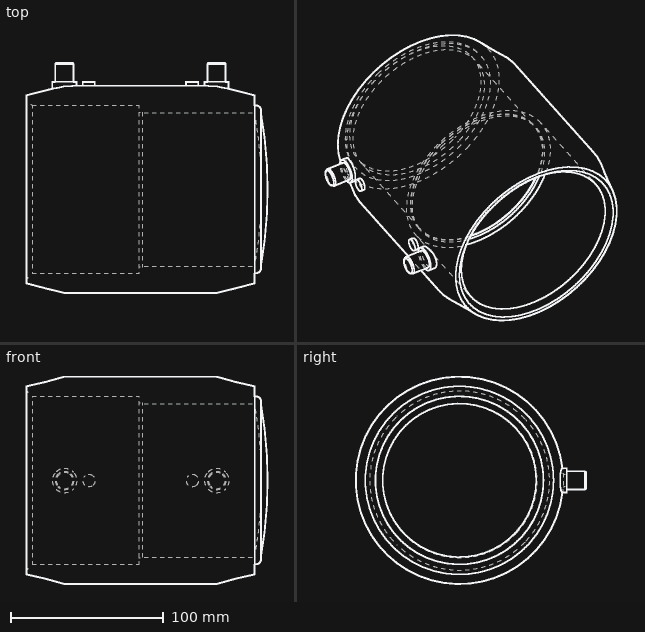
import cadquery as cq

total_length = 158.0
sleeve_length = 149.5
sleeve_radius = 68.0
taper_length = 25.0
end_radius = 61.6

bore_radius = 110.0 / 2
mouth_radius = 58.8
mouth_depth = 3.8
stop_radius = 101.3 / 2
stop_width = 2.2
stop_x = (sleeve_length - stop_width) / 2

plug_inner_radius = 50.3
dome_rim_radius = 50.3
dome_height = 4.5
plug_wall = 4.3
shoulder_bulge = 1.3

boss_top = 70.3
terminal_top = 83.0
terminal_radius = 12.0 / 2
terminal_chamfer_height = 1.1
terminal_chamfer_width = 0.6
collar_radius = 16.0 / 2
indicator_radius = 8.0 / 2
indicator_offset = 16.0
embedded_y = 60.0


def make_body():
    """Revolve the sleeve wall and its closing plug about the X axis."""
    dome_rim_x = total_length - dome_height
    outer_dome_radius = (dome_rim_radius**2 + dome_height**2) / (2 * dome_height)
    inner_dome_radius = outer_dome_radius - plug_wall
    inner_apex_x = total_length - plug_wall
    inner_sphere_x = inner_apex_x - inner_dome_radius
    inner_rim_x = inner_sphere_x + (inner_dome_radius**2 - plug_inner_radius**2) ** 0.5
    shoulder_x = (sleeve_length + dome_rim_x) / 2 + shoulder_bulge
    shoulder_r = (bore_radius + dome_rim_radius) / 2 + shoulder_bulge

    profile = (
        cq.Workplane("XY")
        .moveTo(0, mouth_radius)
        .lineTo(0, end_radius)
        .lineTo(taper_length, sleeve_radius)
        .lineTo(sleeve_length - taper_length, sleeve_radius)
        .lineTo(sleeve_length, end_radius)
        .lineTo(sleeve_length, bore_radius)
        .threePointArc((shoulder_x, shoulder_r), (dome_rim_x, dome_rim_radius))
        .radiusArc((total_length, 0), outer_dome_radius)
        .lineTo(inner_apex_x, 0)
        .radiusArc((inner_rim_x, plug_inner_radius), -inner_dome_radius)
        .lineTo(stop_x + stop_width, plug_inner_radius)
        .lineTo(stop_x + stop_width, stop_radius)
        .lineTo(stop_x, stop_radius)
        .lineTo(stop_x, bore_radius)
        .lineTo(mouth_depth, bore_radius)
        .close()
    )
    return profile.revolve(360, (0, 0, 0), (1, 0, 0))


def y_pin(x, radius, top):
    """Round pin along +Y, rooted inside the sleeve wall."""
    direction = cq.Vector(0, 1, 0)
    base = cq.Vector(x, embedded_y, 0)
    return cq.Workplane(cq.Solid.makeCylinder(radius, top - embedded_y, base, direction))


def make_terminal(x):
    """Collar and contact post with a chamfered tip."""
    post = (
        y_pin(x, terminal_radius, terminal_top)
        .faces(">Y")
        .edges()
        .chamfer(terminal_chamfer_height, terminal_chamfer_width)
    )
    return y_pin(x, collar_radius, boss_top).union(post)


result = make_body()
for end_x, inward in ((0, 1), (sleeve_length, -1)):
    terminal_x = end_x + inward * taper_length
    indicator_x = terminal_x + inward * indicator_offset
    result = result.union(make_terminal(terminal_x))
    result = result.union(y_pin(indicator_x, indicator_radius, boss_top))